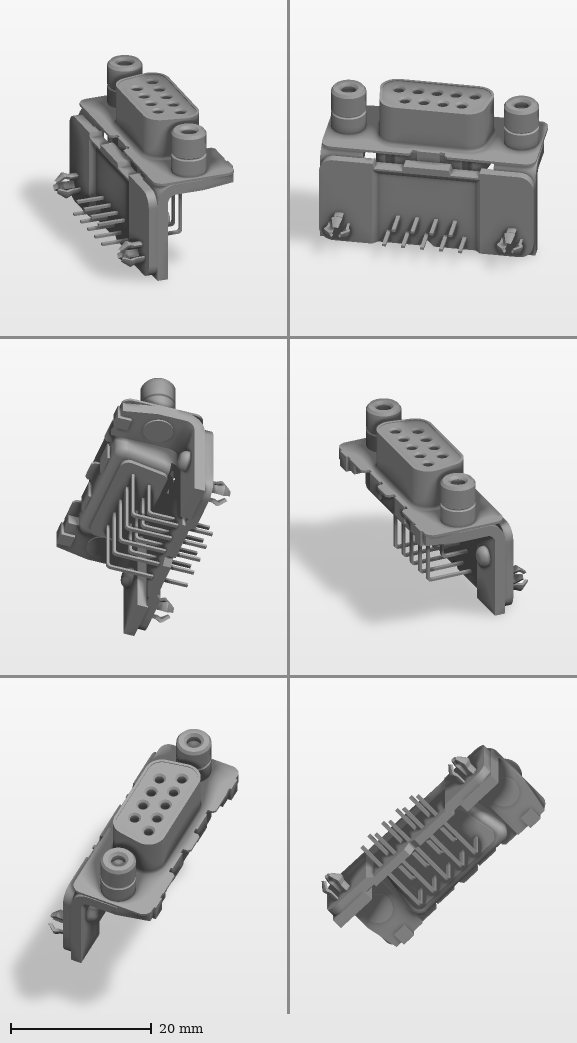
import cadquery as cq
import math


FLANGE_LENGTH = 30.9
FLANGE_WIDTH = 12.35
FLANGE_THICKNESS = 0.37
FLANGE_CORNER = 1.5
FLANGE_REAR = 14.6
FLANGE_FRONT = FLANGE_REAR + FLANGE_THICKNESS
FLANGE_EDGE = FLANGE_WIDTH / 2

TAB_OUTER = 5.32
TAB_THICKNESS = 0.4
TAB_INNER = TAB_OUTER - TAB_THICKNESS
TAB_END = 12.15
NOTCH_FLOOR = 5.05
NOTCH_BEVEL = 0.4
NOTCH_FILLET = 0.2
UPPER_NOTCH_X = 4.1
UPPER_NOTCH_WIDTH = 4.75
UPPER_TAB_WIDTH = 3.2
LOWER_NOTCH_WIDTH = 4.82
LOWER_TAB_WIDTH = 3.23

D_SLOPE = math.radians(10)
SHELL_HALF_LENGTH = 8.2
SHELL_HALF_WIDTH = 4.05
SHELL_CORNER = 2.52
SHELL_TOP = 21.08
SHELL_WALL = 0.4
SHELL_ROOT_FILLET = 0.47
INSULATOR_RECESS = 0.12
REAR_HALF_LENGTH = 9.08
REAR_CORNER = 1.4
REAR_BOTTOM = 10.7
REAR_FILLET = 1.2
REAR_STEP = 11.97
REAR_CUT = -3.5
BASE_INSET = 1.3
BASE_CORNER = 1.18
BASE_BOTTOM = 10.1
KEYWAY_DEPTH = 0.78
KEYWAY_FLAT = 0.75
KEYWAY_SLOPE = 0.78
KEYWAY_STARTS = (-6.3, 4.75)

PITCH = 2.75
UPPER_ROW_COUNT = 5
LOWER_ROW_COUNT = 4
ROW_Y = 1.43
SOCKET_DIAMETER = 1.35
SOCKET_MOUTH = 1.9
SOCKET_DEPTH = 2.5
PIN_WIDTH = 0.53
PIN_THICKNESS = 0.37
PIN_BEND = 0.4
PIN_TIP = -10.55
UPPER_ROW_PIN_Z = 2.18
LOWER_ROW_PIN_Z = 4.7

SIDE_X = 12.47
STANDOFF_DIAMETER = 5.0
STANDOFF_TOP = 21.3
STANDOFF_BEVEL_WIDTH = 0.3
STANDOFF_BEVEL_HEIGHT = 0.45
GROOVE_RADIUS = 2.27
GROOVE_Z = 17.7
GROOVE_HALF_MOUTH = 0.22
GROOVE_HALF_FLOOR = 0.05
STANDOFF_BORE = 2.05
STANDOFF_MOUTH = 2.85
STANDOFF_BORE_DEPTH = 1.25
NUT_RADIUS = 2.15
NUT_END = 12.78

BRACKET_OUTER_X = 15.55
BRACKET_INNER_X = 9.42
BRACKET_THICKNESS = 1.6
BRACKET_FACE = -5.97
BRACKET_END = 6.0
BRACKET_BEND = 2.83
TAPER_START = 1.1
TAPER_INSET = 1.0
RIVET_Z = 8.15
RIVET_RADIUS = 1.5
RIVET_HEIGHT = 1.27
RIVET_ROUNDING = 1.0

CLIP_WIDTH = 2.02
CLIP_RELIEF_WIDTH = 3.73
CLIP_RELIEF_DEPTH = 0.1
CLIP_THICKNESS = 0.37
CLIP_LIP_THICKNESS = 0.47
CLIP_REACH = 4.32

HOUSING_HALF_LENGTH = 15.45
HOUSING_FACE = -7.28
HOUSING_BOTTOM = 0.28
HOUSING_TOP = 13.43
HOUSING_CORNER = 2.05
SHOULDER_REAR = -5.75
RECESS_HALF_WIDTH = 7.8
RECESS_TOP = 12.37
RECESS_DEPTH = 0.75
RECESS_SIDE_SLOPE = 0.78
RECESS_TOP_SLOPE = 0.9
WINDOW_INNER_X = 3.25
WINDOW_OUTER_X = 7.7
WINDOW_DEPTH = 0.78
WINDOW_DRAFT = 0.25
FOOT_NOTCH_HALF_WIDTH = 1.03
FOOT_NOTCH_TOP = 1.2
FOOT_NOTCH_CREST = 0.28

LOCK_Z = 3.45
LOCK_TIP = -10.57
LEG_ANGLE = 48
LEG_OUTER = 1.55
LEG_INNER = 1.18
LEG_BULGE = 1.85
LEG_BULGE_INNER = 1.37
LEG_BEND_Y = -8.5
LEG_BEND_INNER_Y = -8.85
LEG_CREST_START = -9.17
LEG_CREST_END = -9.42
LEG_TIP_OUTER = 0.9
LEG_TIP_INNER = 0.62
LEG_TIP_INNER_Y = -10.2


def block(x, y, z):
    """Box between pairs of limits along each axis."""
    size = [high - low for low, high in (x, y, z)]
    return cq.Workplane("XY").box(*size, centered=False).translate((x[0], y[0], z[0]))


def both_sides(body):
    """The body joined with its mirror image across the middle plane X = 0."""
    return body.union(body.mirror("YZ"))


def d_prism(half_length, half_width, corner, bottom, top):
    """Round-cornered D shape, wide side towards +Y, swept from bottom to top."""
    center_x = half_length - corner
    wide_x = center_x + corner * (1 + math.sin(D_SLOPE)) / math.cos(D_SLOPE)
    narrow_x = wide_x - 2 * half_width * math.tan(D_SLOPE)
    corners = [
        (-wide_x, half_width),
        (wide_x, half_width),
        (narrow_x, -half_width),
        (-narrow_x, -half_width),
    ]
    prism = cq.Workplane("XY", origin=(0, 0, bottom)).polyline(corners).close().extrude(top - bottom)
    return prism.edges("|Z").fillet(corner)


def edge_notch(center_x, width, side):
    """Notch in a flange edge with bevelled mouth corners; side is +1 for +Y and -1 for -Y."""
    half = width / 2
    mouth = FLANGE_EDGE - NOTCH_BEVEL
    outline = [
        (center_x - half - NOTCH_BEVEL, side * FLANGE_EDGE),
        (center_x - half, side * mouth),
        (center_x - half, side * NOTCH_FLOOR),
        (center_x + half, side * NOTCH_FLOOR),
        (center_x + half, side * mouth),
        (center_x + half + NOTCH_BEVEL, side * FLANGE_EDGE),
    ]
    notch = cq.Workplane("XY", origin=(0, 0, FLANGE_REAR)).polyline(outline).close()
    notch = notch.extrude(FLANGE_THICKNESS)
    floor_edges = "|Z and <Y" if side > 0 else "|Z and >Y"
    return notch.edges(floor_edges).fillet(NOTCH_FILLET)


def bent_tab(center_x, width, side):
    """Tab running back from the floor of a flange notch."""
    y = sorted((side * TAB_INNER, side * TAB_OUTER))
    return block((center_x - width / 2, center_x + width / 2), y, (TAB_END, FLANGE_FRONT))


def make_flange():
    """Face plate with bent tabs in its long edges and reliefs beside the bracket clips."""
    plate = cq.Workplane("XY", origin=(0, 0, FLANGE_REAR)).rect(FLANGE_LENGTH, FLANGE_WIDTH)
    plate = plate.extrude(FLANGE_THICKNESS).edges("|Z").fillet(FLANGE_CORNER)
    for x in (-UPPER_NOTCH_X, UPPER_NOTCH_X):
        plate = plate.cut(edge_notch(x, UPPER_NOTCH_WIDTH, 1)).union(bent_tab(x, UPPER_TAB_WIDTH, 1))
    plate = plate.cut(edge_notch(0, LOWER_NOTCH_WIDTH, -1)).union(bent_tab(0, LOWER_TAB_WIDTH, -1))
    relief = cq.Workplane("XY").box(CLIP_RELIEF_WIDTH, 2 * CLIP_RELIEF_DEPTH, 2 * FLANGE_THICKNESS)
    relief = relief.translate((SIDE_X, FLANGE_EDGE, FLANGE_FRONT))
    return plate.cut(both_sides(relief))


def make_clip():
    """Hook over the end of one bracket."""
    x = (SIDE_X - CLIP_WIDTH / 2, SIDE_X + CLIP_WIDTH / 2)
    outer_y = BRACKET_END + CLIP_THICKNESS
    bracket_rear = FLANGE_REAR - BRACKET_THICKNESS
    hook = block(x, (CLIP_REACH, outer_y), (bracket_rear - CLIP_LIP_THICKNESS, FLANGE_FRONT))
    return hook.cut(block(x, (CLIP_REACH, BRACKET_END), (bracket_rear, FLANGE_FRONT)))


def make_front_shell():
    """Mating shell filled by an insulator set slightly below its rim."""
    shell = d_prism(SHELL_HALF_LENGTH, SHELL_HALF_WIDTH, SHELL_CORNER, FLANGE_FRONT, SHELL_TOP)
    cavity = d_prism(
        SHELL_HALF_LENGTH - SHELL_WALL,
        SHELL_HALF_WIDTH - SHELL_WALL,
        SHELL_CORNER - SHELL_WALL,
        SHELL_TOP - INSULATOR_RECESS,
        SHELL_TOP,
    )
    return shell.cut(cavity)


def make_keyways():
    """Grooves in the -Y face of the rear body, each with one sloped flank."""
    cutters = cq.Workplane("XY")
    for start in KEYWAY_STARTS:
        outline = [
            (start, -TAB_INNER),
            (start, -TAB_INNER + KEYWAY_DEPTH),
            (start + KEYWAY_FLAT, -TAB_INNER + KEYWAY_DEPTH),
            (start + KEYWAY_FLAT + KEYWAY_SLOPE, -TAB_INNER),
        ]
        groove = cq.Workplane("XY", origin=(0, 0, REAR_BOTTOM)).polyline(outline).close()
        cutters = cutters.add(groove.extrude(FLANGE_REAR - REAR_BOTTOM))
    return cutters.combine()


def make_rear_body():
    """Rounded cup behind the flange and the insulator base below it, cut back on the board side."""
    cup = d_prism(REAR_HALF_LENGTH, TAB_INNER, REAR_CORNER, REAR_BOTTOM, FLANGE_REAR)
    cup = cup.faces("<Z").edges().fillet(REAR_FILLET)
    base = d_prism(
        REAR_HALF_LENGTH - BASE_INSET, TAB_INNER - BASE_INSET, BASE_CORNER, BASE_BOTTOM, REAR_BOTTOM
    )
    x = (-REAR_HALF_LENGTH, REAR_HALF_LENGTH)
    undercut = block(x, (-TAB_OUTER, REAR_CUT), (BASE_BOTTOM, REAR_STEP))
    return cup.union(base).cut(undercut).cut(make_keyways())


def row_positions(count):
    """Contact X positions of a row centred on X = 0."""
    return [PITCH * (i - (count - 1) / 2) for i in range(count)]


def make_socket():
    """Cutter for one contact hole with a conical mouth, opening at the insulator face."""
    cone = (SOCKET_MOUTH - SOCKET_DIAMETER) / 2
    profile = [
        (0, 0),
        (SOCKET_MOUTH / 2, 0),
        (SOCKET_DIAMETER / 2, -cone),
        (SOCKET_DIAMETER / 2, -SOCKET_DEPTH),
        (0, -SOCKET_DEPTH),
    ]
    cutter = cq.Workplane("XZ").polyline(profile).close().revolve(360, (0, 0), (0, 1))
    return cutter.translate((0, 0, SHELL_TOP - INSULATOR_RECESS))


def make_pin(row_y, board_z):
    """Contact tail: out of the insulator base along -Z, then bent towards the board."""
    half = PIN_THICKNESS / 2
    outline = [
        (row_y - half, REAR_BOTTOM),
        (row_y + half, REAR_BOTTOM),
        (row_y + half, board_z - half),
        (PIN_TIP, board_z - half),
        (PIN_TIP, board_z + half),
        (row_y - half, board_z + half),
    ]
    pin = cq.Workplane("YZ").polyline(outline).close().extrude(PIN_WIDTH / 2, both=True)
    outer_bend = cq.selectors.NearestToPointSelector((0, row_y + half, board_z - half))
    pin = pin.edges("|X").edges(outer_bend).fillet(PIN_BEND + half)
    inner_bend = cq.selectors.NearestToPointSelector((0, row_y - half, board_z + half))
    return pin.edges("|X").edges(inner_bend).fillet(PIN_BEND)


def make_standoff():
    """Threaded standoff with a locking groove, and the end of its nut behind the bracket."""
    shaft = STANDOFF_DIAMETER / 2
    mouth = STANDOFF_MOUTH / 2
    bore = STANDOFF_BORE / 2
    profile = [
        (0, NUT_END),
        (NUT_RADIUS, NUT_END),
        (NUT_RADIUS, FLANGE_FRONT),
        (shaft, FLANGE_FRONT),
        (shaft, GROOVE_Z - GROOVE_HALF_MOUTH),
        (GROOVE_RADIUS, GROOVE_Z - GROOVE_HALF_FLOOR),
        (GROOVE_RADIUS, GROOVE_Z + GROOVE_HALF_FLOOR),
        (shaft, GROOVE_Z + GROOVE_HALF_MOUTH),
        (shaft, STANDOFF_TOP - STANDOFF_BEVEL_HEIGHT),
        (shaft - STANDOFF_BEVEL_WIDTH, STANDOFF_TOP),
        (mouth, STANDOFF_TOP),
        (bore, STANDOFF_TOP - (mouth - bore)),
        (bore, STANDOFF_TOP - STANDOFF_BORE_DEPTH),
        (0, STANDOFF_TOP - STANDOFF_BORE_DEPTH),
    ]
    standoff = cq.Workplane("XZ").polyline(profile).close().revolve(360, (0, 0), (0, 1))
    return standoff.translate((SIDE_X, 0, 0))


def make_bracket():
    """Angle bracket with a rounded bend, its far end tapered on the outer side."""
    inner_face = BRACKET_FACE + BRACKET_THICKNESS
    rear = FLANGE_REAR - BRACKET_THICKNESS
    inner_bend = BRACKET_BEND - BRACKET_THICKNESS
    section = (
        cq.Workplane("YZ", origin=(BRACKET_INNER_X, 0, 0))
        .moveTo(BRACKET_FACE, 0)
        .lineTo(BRACKET_FACE, FLANGE_REAR - BRACKET_BEND)
        .radiusArc((BRACKET_FACE + BRACKET_BEND, FLANGE_REAR), BRACKET_BEND)
        .lineTo(BRACKET_END, FLANGE_REAR)
        .lineTo(BRACKET_END, rear)
        .lineTo(inner_face + inner_bend, rear)
        .radiusArc((inner_face, rear - inner_bend), -inner_bend)
        .lineTo(inner_face, 0)
        .close()
    )
    bracket = section.extrude(BRACKET_OUTER_X - BRACKET_INNER_X)
    taper = [
        (BRACKET_OUTER_X, TAPER_START),
        (BRACKET_OUTER_X, BRACKET_END),
        (BRACKET_OUTER_X - TAPER_INSET, BRACKET_END),
    ]
    return bracket.cut(cq.Workplane("XY").polyline(taper).close().extrude(FLANGE_REAR))


def make_rivet():
    """Domed rivet head on the inner face of one bracket."""
    seat = BRACKET_FACE + BRACKET_THICKNESS
    head = cq.Workplane("XZ", origin=(SIDE_X, seat, RIVET_Z)).circle(RIVET_RADIUS).extrude(-RIVET_HEIGHT)
    return head.faces(">Y").edges().fillet(RIVET_ROUNDING)


def make_recess():
    """Cutter for the shallow recess around the pins: sloped top and sides, open at the foot."""
    deep_half = RECESS_HALF_WIDTH - RECESS_SIDE_SLOPE
    foot = HOUSING_BOTTOM
    mouth = [
        (-RECESS_HALF_WIDTH, foot),
        (RECESS_HALF_WIDTH, foot),
        (RECESS_HALF_WIDTH, RECESS_TOP),
        (-RECESS_HALF_WIDTH, RECESS_TOP),
    ]
    floor_top = RECESS_TOP - RECESS_TOP_SLOPE
    floor = [(-deep_half, foot), (deep_half, foot), (deep_half, floor_top), (-deep_half, floor_top)]
    cutter = cq.Workplane("XZ", origin=(0, HOUSING_FACE, 0)).polyline(mouth).close()
    cutter = cutter.workplane(offset=-RECESS_DEPTH).polyline(floor).close()
    return cutter.loft(ruled=True)


def make_housing():
    """Board-side plate, thicker between the brackets, with top windows, a foot notch and a recess."""
    height = HOUSING_TOP - HOUSING_BOTTOM
    depth = BRACKET_FACE - HOUSING_FACE
    plate = cq.Workplane("XZ", origin=(0, BRACKET_FACE, HOUSING_BOTTOM + height / 2))
    plate = plate.rect(2 * HOUSING_HALF_LENGTH, height).extrude(depth)
    plate = plate.edges("|Y").fillet(HOUSING_CORNER)
    middle = block(
        (-WINDOW_OUTER_X, WINDOW_OUTER_X),
        (BRACKET_FACE, -TAB_OUTER),
        (HOUSING_BOTTOM, HOUSING_TOP),
    )
    shoulders = block(
        (-BRACKET_INNER_X, BRACKET_INNER_X),
        (BRACKET_FACE, SHOULDER_REAR),
        (HOUSING_BOTTOM, HOUSING_TOP),
    )
    full_depth = -TAB_OUTER - HOUSING_FACE
    window = [
        (WINDOW_INNER_X, HOUSING_TOP),
        (WINDOW_INNER_X + WINDOW_DRAFT, HOUSING_TOP - WINDOW_DEPTH),
        (WINDOW_OUTER_X - WINDOW_DRAFT, HOUSING_TOP - WINDOW_DEPTH),
        (WINDOW_OUTER_X, HOUSING_TOP),
    ]
    back_plane = cq.Workplane("XZ", origin=(0, -TAB_OUTER, 0))
    windows = both_sides(back_plane.polyline(window).close().extrude(full_depth))
    foot_notch = (
        back_plane.moveTo(-FOOT_NOTCH_HALF_WIDTH, HOUSING_BOTTOM)
        .lineTo(-FOOT_NOTCH_CREST, FOOT_NOTCH_TOP - FOOT_NOTCH_CREST / 2)
        .threePointArc((0, FOOT_NOTCH_TOP), (FOOT_NOTCH_CREST, FOOT_NOTCH_TOP - FOOT_NOTCH_CREST / 2))
        .lineTo(FOOT_NOTCH_HALF_WIDTH, HOUSING_BOTTOM)
        .close()
        .extrude(full_depth)
    )
    return plate.union(shoulders).union(middle).cut(windows).cut(foot_notch).cut(make_recess())


def make_board_lock():
    """Three springy legs around an axis along Y, bulged outwards and pinched at the tip."""
    profile = [
        (LEG_INNER, BRACKET_FACE),
        (LEG_OUTER, BRACKET_FACE),
        (LEG_OUTER, LEG_BEND_Y),
        (LEG_BULGE, LEG_CREST_START),
        (LEG_BULGE, LEG_CREST_END),
        (LEG_TIP_OUTER, LOCK_TIP),
        (LEG_TIP_INNER, LEG_TIP_INNER_Y),
        (LEG_BULGE_INNER, LEG_CREST_END),
        (LEG_BULGE_INNER, LEG_CREST_START),
        (LEG_INNER, LEG_BEND_INNER_Y),
    ]
    leg = cq.Workplane("XY").polyline(profile).close().revolve(LEG_ANGLE, (0, 0), (0, 1))
    lock = cq.Workplane("XY")
    for turn in (0, 120, 240):
        lock = lock.add(leg.rotate((0, 0, 0), (0, 1, 0), turn - 90 - LEG_ANGLE / 2))
    return lock.combine().translate((SIDE_X, 0, LOCK_Z))


connector = make_flange().union(make_front_shell())
root_box = cq.selectors.BoxSelector(
    (-SHELL_HALF_LENGTH, -SHELL_HALF_WIDTH, FLANGE_REAR),
    (SHELL_HALF_LENGTH, SHELL_HALF_WIDTH, FLANGE_FRONT + FLANGE_THICKNESS),
)
connector = connector.edges(root_box).fillet(SHELL_ROOT_FILLET)
connector = connector.union(make_rear_body()).union(make_housing())

for side_feature in (make_clip, make_bracket, make_standoff, make_rivet, make_board_lock):
    connector = connector.union(both_sides(side_feature()))

for count, row_y, board_z in (
    (UPPER_ROW_COUNT, ROW_Y, UPPER_ROW_PIN_Z),
    (LOWER_ROW_COUNT, -ROW_Y, LOWER_ROW_PIN_Z),
):
    for contact_x in row_positions(count):
        connector = connector.cut(make_socket().translate((contact_x, row_y, 0)))
        connector = connector.union(make_pin(row_y, board_z).translate((contact_x, 0, 0)))

result = connector.solids()